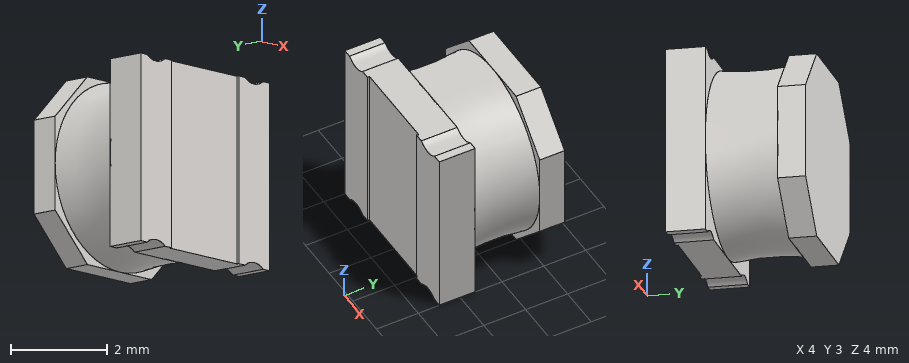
import cadquery as cq

SIDE = 4.0
DEPTH = 3.0

BASE_THICKNESS = 0.855
PAD_WIDTH = 0.96
PAD_HEIGHT = 0.05

NOTCH_WIDTH = 0.55
NOTCH_DEPTH = 0.1

FLANGE_THICKNESS = 0.6
FLANGE_CORNER = SIDE / 4

CORE_END_RADIUS = SIDE / 2
CORE_WAIST_RADIUS = 1.95

HALF = SIDE / 2
FLANGE_FRONT = DEPTH - FLANGE_THICKNESS
PAD_CENTER_X = HALF - PAD_WIDTH / 2


def notch(center_x, edge):
    """Arc-shaped cutter along Y; edge is +1 for the top edge, -1 for the bottom edge."""
    edge_z = edge * HALF
    return (
        cq.Workplane("XZ")
        .moveTo(center_x - NOTCH_WIDTH / 2, edge_z)
        .threePointArc(
            (center_x, edge_z - edge * NOTCH_DEPTH),
            (center_x + NOTCH_WIDTH / 2, edge_z),
        )
        .close()
        .extrude(-BASE_THICKNESS)
    )


def make_base():
    """Square plate with a recessed centre strip between the pads and four notches."""
    base = cq.Workplane("XY").box(SIDE, BASE_THICKNESS, SIDE, centered=(True, False, True))
    recess_width = SIDE - 2 * PAD_WIDTH
    recess = cq.Workplane("XY").box(recess_width, PAD_HEIGHT, SIDE, centered=(True, False, True))
    base = base.cut(recess)
    for center_x in (-PAD_CENTER_X, PAD_CENTER_X):
        for edge in (-1, 1):
            base = base.cut(notch(center_x, edge))
    return base


def make_core():
    """Round core revolved about Y, narrowing along an arc to its waist."""
    middle_y = (BASE_THICKNESS + FLANGE_FRONT) / 2
    return (
        cq.Workplane("XY")
        .moveTo(0, BASE_THICKNESS)
        .lineTo(CORE_END_RADIUS, BASE_THICKNESS)
        .threePointArc((CORE_WAIST_RADIUS, middle_y), (CORE_END_RADIUS, FLANGE_FRONT))
        .lineTo(0, FLANGE_FRONT)
        .close()
        .revolve(360, (0, 0, 0), (0, 1, 0))
    )


def make_flange():
    """Square plate with its four corners cut off at 45 degrees."""
    return (
        cq.Workplane("XY")
        .box(SIDE, FLANGE_THICKNESS, SIDE, centered=(True, False, True))
        .edges("|Y")
        .chamfer(FLANGE_CORNER)
        .translate((0, FLANGE_FRONT, 0))
    )


result = make_base().union(make_core()).union(make_flange())